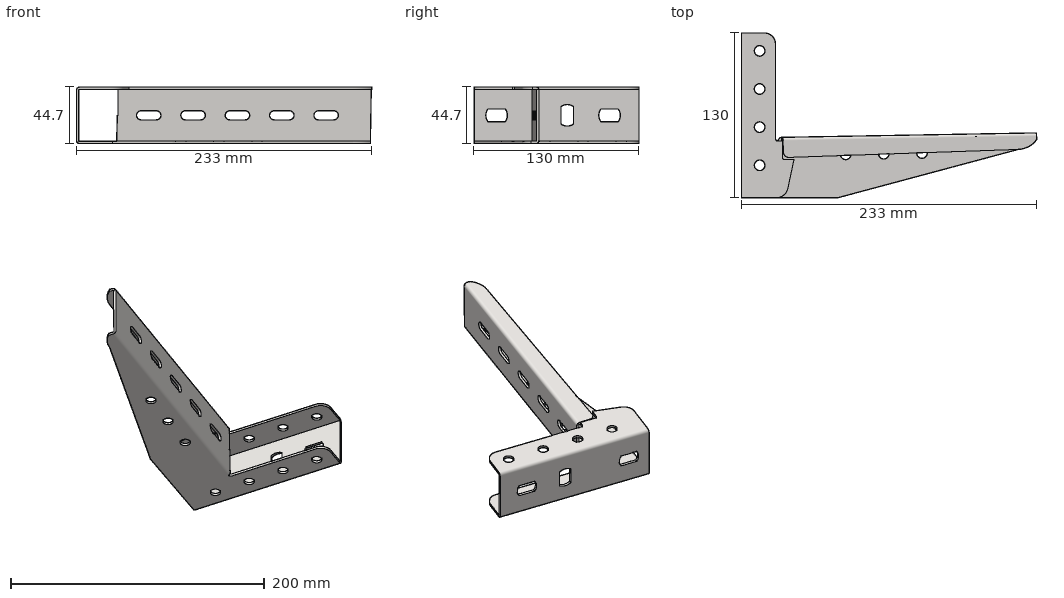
import cadquery as cq
import math

total_length = 233
foot_length = 130.0
height = 44.7

thickness = 2.0
bend_radius = 2.8

foot_flange_width = 27.0
foot_corner_radius = 8.9
notch_y = 44.7
notch_radius = 1.9
arm_recess_x = 32.4
arm_recess_y = 30.0
arm_recess_radius = 1.9
tab_tip_x = 41.5
tab_angle = 12
tab_corner_radius = 9.3

arm_angle = 1
web_y_at_end = 51.2
web_start_bottom_x = 31.7
web_start_top_x = 32.8
web_end_bottom_x = 231.7
web_end_top_x = 232.5
floor_start_x = 28.5
floor_corner_x = 30.5
flange_start_x = 33.3
flange_start_y = 31.7
flange_corner_radius = 4.2
flange_edge_angle = 2
taper_start_x = 76.2
taper_angle = 15
tip_y = 46.0
nose_start_x = 218.2
nose_radius = 18.6

hole_diameter = 8.2
hole_pitch = 30.0
foot_hole_x = 14.5
foot_hole_first_y = 25.6
foot_hole_count = 4
arm_hole_first_x = 82.2
arm_hole_first_y = 34.2
arm_hole_count = 3

web_slot_length = 19.0
web_slot_width = 7
web_slot_pitch = 35
web_slot_first_x = 57.0
web_slot_count = 5

foot_slot_length = 16.8
foot_slot_width = 9.8
foot_slot_end_radius = foot_slot_length / 2
level_slot_ys = (17.7, 106.7)
upright_slot_y = 73.4

middle_z = height / 2


def rise(run, angle):
    """Sideways travel of a line at the given angle over a run."""
    return run * math.tan(math.radians(angle))


def round_edge(body, point, radius):
    """Fillet the edge of body whose centre is nearest to point."""
    return body.edges(cq.selectors.NearestToPointSelector(point)).fillet(radius)


def channel(depth, length):
    """C-channel along +Y with its web on the YZ plane and its flanges toward +X."""
    outside = (
        cq.Workplane("XY")
        .box(depth, length, height, centered=False)
        .edges("|Y and <X")
        .fillet(bend_radius)
    )
    inside = (
        cq.Workplane("XY")
        .box(depth, length, height - 2 * thickness, centered=False)
        .translate((thickness, 0, thickness))
    )
    return outside.cut(inside)


def foot():
    """Channel whose two flanges share one outline, with a recess for the arm."""
    tab_base_x = tab_tip_x - rise(arm_recess_y, tab_angle)
    outline = (
        cq.Workplane("XY")
        .polyline([
            (0, 0),
            (tab_base_x, 0),
            (tab_tip_x, arm_recess_y),
            (arm_recess_x, arm_recess_y),
            (arm_recess_x, notch_y),
            (foot_flange_width, notch_y),
            (foot_flange_width, foot_length),
            (0, foot_length),
        ])
        .close()
        .extrude(height)
    )

    corners = [
        (tab_base_x, 0, tab_corner_radius),
        (arm_recess_x, arm_recess_y, arm_recess_radius),
        (foot_flange_width, notch_y, notch_radius),
        (foot_flange_width, foot_length, foot_corner_radius),
    ]
    for x, y, radius in corners:
        outline = round_edge(outline, (x, y, middle_z), radius)
    return channel(tab_tip_x, foot_length).intersect(outline)


def web_y(x):
    """Y of the arm web's outer face at the given X."""
    return web_y_at_end - rise(total_length - x, arm_angle)


def arm():
    """Channel turned along X: a narrow top flange, a web, and a wide tapered floor."""
    stock_length = 2.5 * total_length
    body = (
        channel(web_y_at_end, stock_length)
        .translate((0, -stock_length / 2, 0))
        .rotate((0, 0, 0), (0, 0, 1), arm_angle - 90)
        .translate((0, web_y(0), 0))
    )
    nose_start = (nose_start_x, rise(nose_start_x - taper_start_x, taper_angle))
    tip = (total_length, tip_y)
    end_corner = (web_end_top_x, web_y(web_end_top_x))

    floor_outline = (
        cq.Workplane("XY")
        .moveTo(floor_start_x, 0)
        .lineTo(taper_start_x, 0)
        .lineTo(*nose_start)
        .radiusArc(tip, -nose_radius)
        .lineTo(*end_corner)
        .lineTo(floor_corner_x, web_y(floor_corner_x))
        .lineTo(floor_start_x, notch_y)
        .close()
        .extrude(middle_z)
    )
    flange_edge_y = flange_start_y + rise(nose_start_x - flange_start_x, flange_edge_angle)
    flange_outline = (
        cq.Workplane("XY", origin=(0, 0, middle_z))
        .moveTo(web_start_top_x, web_y(web_start_top_x))
        .lineTo(flange_start_x, flange_start_y)
        .lineTo(nose_start_x, flange_edge_y)
        .radiusArc(tip, -nose_radius)
        .lineTo(*end_corner)
        .close()
        .extrude(middle_z)
    )
    flange_corner = (flange_start_x, flange_start_y, (middle_z + height) / 2)
    flange_outline = round_edge(flange_outline, flange_corner, flange_corner_radius)

    flange_z = height - thickness
    side_outline = (
        cq.Workplane("XZ")
        .polyline([
            (floor_start_x, 0),
            (web_end_bottom_x, 0),
            (web_end_top_x, flange_z),
            (total_length, flange_z),
            (total_length, height),
            (web_start_top_x, height),
            (web_start_bottom_x, thickness),
            (floor_start_x, thickness),
        ])
        .close()
        .extrude(-foot_length)
    )
    return body.intersect(floor_outline.union(flange_outline)).intersect(side_outline)


def round_holes():
    """Holes through both foot flanges, and a row through the arm floor only."""
    foot_points = [
        (foot_hole_x, foot_hole_first_y + i * hole_pitch)
        for i in range(foot_hole_count)
    ]
    arm_points = [
        (arm_hole_first_x + i * hole_pitch, arm_hole_first_y + rise(i * hole_pitch, arm_angle))
        for i in range(arm_hole_count)
    ]
    foot_cut = cq.Workplane("XY").pushPoints(foot_points).circle(hole_diameter / 2).extrude(height)
    arm_cut = cq.Workplane("XY").pushPoints(arm_points).circle(hole_diameter / 2).extrude(middle_z)
    return foot_cut.union(arm_cut)


def web_slots():
    """Row of slots through the arm web."""
    points = [
        (web_slot_first_x + i * web_slot_pitch, middle_z)
        for i in range(web_slot_count)
    ]
    return (
        cq.Workplane("XZ")
        .pushPoints(points)
        .slot2D(web_slot_length, web_slot_width)
        .extrude(-foot_length)
    )


def foot_slot(y, turn):
    """Arched-end slot through the foot web, turned about its own centre."""
    half_width = foot_slot_width / 2
    arch = foot_slot_end_radius - math.sqrt(foot_slot_end_radius**2 - half_width**2)
    half_length = foot_slot_length / 2
    side_end = half_length - arch
    return (
        cq.Workplane("YZ")
        .moveTo(-side_end, -half_width)
        .lineTo(side_end, -half_width)
        .threePointArc((half_length, 0), (side_end, half_width))
        .lineTo(-side_end, half_width)
        .threePointArc((-half_length, 0), (-side_end, -half_width))
        .close()
        .extrude(bend_radius)
        .rotate((0, 0, 0), (1, 0, 0), turn)
        .translate((0, y, middle_z))
    )


result = foot().union(arm()).cut(round_holes()).cut(web_slots())
for slot_y in level_slot_ys:
    result = result.cut(foot_slot(slot_y, 0))
result = result.cut(foot_slot(upright_slot_y, 90))